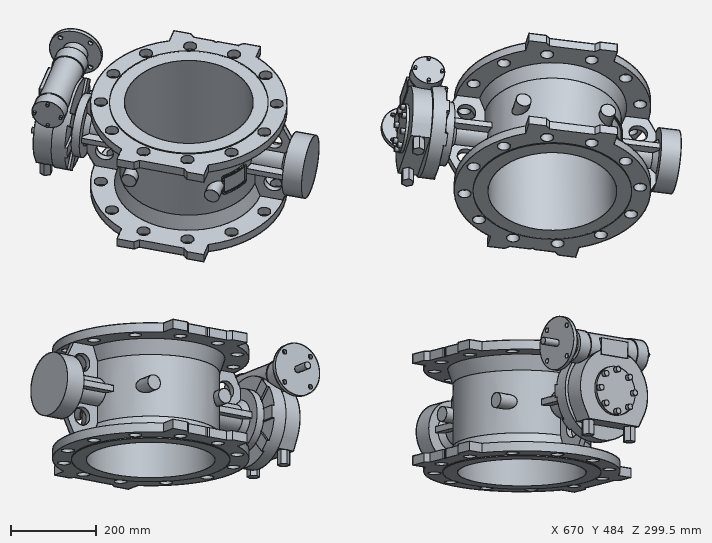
import cadquery as cq
import math

BORE_DIA = 300.0
BODY_DIA = 321.5
BODY_BELT_HEIGHT = 149.5
NECK_DIA = 346.5
BODY_HEIGHT = 270.0
FACE_HEIGHT = 3.0
FACE_DIA = 370.0
FLANGE_DIA = 458.0
FLANGE_THICK = 22.0
BOLT_CIRCLE_DIA = 410.0
BOLT_HOLE_DIA = 30.0
BOLT_COUNT = 12

FOOT_WIDTH = 210.5
FOOT_SPAN = 484.0
FOOT_RELIEF_WIDTH = 128.0
FOOT_RELIEF_DEPTH = 10.0
MARK_NOTCH_DEPTH = 5.0

SHAFT_Y = 6.0
SUPPORT_X = 246.0
SUPPORT_DIA = 70.0
SUPPORT_CONE_DIA = 95.0
SUPPORT_CONE_LENGTH = 13.0
RIB_THICK = 15.0
RIB_WIDTH = 110.0
WEB_TOP_X = 228.0
WEB_SIDE_HEIGHT = 149.5
WEB_HOLE_DIA = 43.5
WEB_HOLE_X = 204.5
WEB_HOLE_Z = 65.0
END_DISC_DIA = 150.0
GEAR_DISC_X = -265.0
END_CAP_X = 293.0

PIN_DIA = 35.5
PIN_X = 100.5
PIN_REACH = 158.0
PLATE_ANGLE = -32.5
PLATE_WIDTH = 74.5
PLATE_HEIGHT = 55.0
PLATE_RADIUS = 165.0
PLATE_CORNER = 5.0
PLATE_RIM = 5.0
PLATE_RECESS_RADIUS = 162.0

HUB_DIA = 115.0
SPOKE_WIDTH = 30.0
SPOKE_ANGLES = (0, 45, 135, 180, 225, 315)
CASE_X = -271.5
CASE_DIA = 218.0
HOUSING_X = -304.0
HOUSING_DIA = 201.0
HOUSING_FRONT_X = -350.5
HOUSING_BOTTOM_Z = -75.0
SKIRT_ANGLE = 28.0
COVER_DIA = 115.0
COVER_FRONT_X = -357.0
COVER_BOLT_DIA = 13.5
COVER_BOLT_CIRCLE_DIA = 100.0
COVER_BOLT_COUNT = 8
COVER_BOLT_FRONT_X = -367.0
LEG_FLATS = 25.5
LEG_X = -330.0
LEG_SPACING = 123.0
LEG_BOTTOM_Z = -109.0

OVERALL_HEIGHT = 299.5
WORM_X = -314.0
WORM_DIA = 73.0
COLLAR_DIA = 78.0
COLLAR_REAR_Y = (76.0, 108.5)
COLLAR_FRONT_Y = (-95.0, -63.5)
NECK_TUBE_DIA = 60.0
DRIVE_FLANGE_Y = (138.0, 148.0)
DRIVE_FLANGE_DIA = 126.0
DRIVE_HOLE_DIA = 11.0
DRIVE_HOLE_CIRCLE_DIA = 103.0
DRIVE_HOLE_COUNT = 4
INPUT_SHAFT_DIA = 17.0
INPUT_SHAFT_END_Y = 189.0
END_SCREW_DIA = 7.5
END_SCREW_CIRCLE_DIA = 63.5
END_SCREW_COUNT = 4
END_SCREW_HEIGHT = 6.0
TAG_WIDTH = 80.0
TAG_Z = (82.5, 121.0)
TAG_X = (-353.0, -335.0)

FLANGE_OUTER_Z = BODY_HEIGHT / 2 - FACE_HEIGHT
FLANGE_INNER_Z = FLANGE_OUTER_Z - FLANGE_THICK
WORM_Z = OVERALL_HEIGHT - BODY_HEIGHT / 2 - DRIVE_FLANGE_DIA / 2


def disc_z(diameter, z0, z1):
    return cq.Workplane("XY", origin=(0, 0, z0)).circle(diameter / 2).extrude(z1 - z0)


def disc_x(diameter, x0, x1):
    return cq.Workplane("YZ", origin=(x0, SHAFT_Y, 0)).circle(diameter / 2).extrude(x1 - x0)


def disc_y(diameter, y0, y1, x=WORM_X, z=WORM_Z):
    return cq.Workplane("XZ", origin=(x, y0, z)).circle(diameter / 2).extrude(y0 - y1)


def box_between(x, y, z):
    size = (x[1] - x[0], y[1] - y[0], z[1] - z[0])
    return cq.Workplane("XY", origin=(x[0], y[0], z[0])).box(*size, centered=False)


def body_shell():
    half_belt = BODY_BELT_HEIGHT / 2
    profile = [
        (0, -FLANGE_INNER_Z),
        (NECK_DIA / 2, -FLANGE_INNER_Z),
        (BODY_DIA / 2, -half_belt),
        (BODY_DIA / 2, half_belt),
        (NECK_DIA / 2, FLANGE_INNER_Z),
        (0, FLANGE_INNER_Z),
    ]
    shell = cq.Workplane("XZ").polyline(profile).close().revolve(360, (0, 0, 0), (0, 1, 0))
    top_face = disc_z(FACE_DIA, FLANGE_INNER_Z, BODY_HEIGHT / 2)
    bottom_face = disc_z(FACE_DIA, -BODY_HEIGHT / 2, -FLANGE_INNER_Z)
    return shell.union(top_face).union(bottom_face)


def flange(z0):
    end_y = FOOT_SPAN / 2
    relief_y = end_y - FOOT_RELIEF_DEPTH
    relief_top = FOOT_RELIEF_WIDTH / 2
    relief_floor = relief_top - FOOT_RELIEF_DEPTH
    relief = [
        (-relief_top, end_y),
        (-relief_floor, relief_y),
        (relief_floor, relief_y),
        (relief_top, end_y),
    ]
    mark = [
        (-MARK_NOTCH_DEPTH, relief_y),
        (0, relief_y - MARK_NOTCH_DEPTH),
        (MARK_NOTCH_DEPTH, relief_y),
    ]
    plane = cq.Workplane("XY", origin=(0, 0, z0))
    feet = plane.rect(FOOT_WIDTH, FOOT_SPAN).extrude(FLANGE_THICK)
    relief_cut = plane.polyline(relief).close().extrude(FLANGE_THICK)
    mark_cut = plane.polyline(mark).close().extrude(FLANGE_THICK)
    feet = feet.cut(relief_cut).cut(relief_cut.mirror("XZ")).cut(mark_cut)
    bolt_holes = (
        plane.polarArray(BOLT_CIRCLE_DIA / 2, 180 / BOLT_COUNT, 360, BOLT_COUNT)
        .circle(BOLT_HOLE_DIA / 2)
        .extrude(FLANGE_THICK)
    )
    return disc_z(FLANGE_DIA, z0, z0 + FLANGE_THICK).union(feet).cut(bolt_holes)


def shaft_supports():
    web_outline = [
        (-WEB_TOP_X, FLANGE_INNER_Z),
        (WEB_TOP_X, FLANGE_INNER_Z),
        (SUPPORT_X, WEB_SIDE_HEIGHT / 2),
        (SUPPORT_X, -WEB_SIDE_HEIGHT / 2),
        (WEB_TOP_X, -FLANGE_INNER_Z),
        (-WEB_TOP_X, -FLANGE_INNER_Z),
        (-SUPPORT_X, -WEB_SIDE_HEIGHT / 2),
        (-SUPPORT_X, WEB_SIDE_HEIGHT / 2),
    ]
    web_plane = cq.Workplane("XZ", origin=(0, SHAFT_Y + RIB_THICK / 2, 0))
    web = web_plane.polyline(web_outline).close().extrude(RIB_THICK)
    holes = web_plane.rect(2 * WEB_HOLE_X, 2 * WEB_HOLE_Z, forConstruction=True).vertices()
    web = web.cut(holes.circle(WEB_HOLE_DIA / 2).extrude(RIB_THICK))
    rib = cq.Workplane("XY", origin=(0, SHAFT_Y, 0)).box(2 * SUPPORT_X, RIB_WIDTH, RIB_THICK)
    cone_start = SUPPORT_X - SUPPORT_CONE_LENGTH
    sleeve_profile = [
        (-SUPPORT_X, 0),
        (-SUPPORT_X, SUPPORT_CONE_DIA / 2),
        (-cone_start, SUPPORT_DIA / 2),
        (cone_start, SUPPORT_DIA / 2),
        (SUPPORT_X, SUPPORT_CONE_DIA / 2),
        (SUPPORT_X, 0),
    ]
    sleeve = (
        cq.Workplane("XZ", origin=(0, SHAFT_Y, 0))
        .polyline(sleeve_profile)
        .close()
        .revolve(360, (0, 0, 0), (1, 0, 0))
    )
    gear_disc = disc_x(END_DISC_DIA, GEAR_DISC_X, -SUPPORT_X)
    end_cap = disc_x(END_DISC_DIA, SUPPORT_X, END_CAP_X)
    return web.union(rib).union(sleeve).union(gear_disc).union(end_cap)


def body_pins():
    pins = disc_y(PIN_DIA, -PIN_REACH, PIN_REACH, -PIN_X, 0)
    return pins.union(disc_y(PIN_DIA, -PIN_REACH, PIN_REACH, PIN_X, 0))


def name_plate():
    """Rimmed plate whose face and recess are both rounded about the bore axis."""
    half_height = PLATE_HEIGHT / 2
    depth = PLATE_RADIUS - BORE_DIA / 2
    turn = math.radians(PLATE_ANGLE)
    outward = cq.Vector(math.cos(turn), math.sin(turn), 0)
    sideways = cq.Vector(-math.sin(turn), math.cos(turn), 0)
    plane = cq.Plane(origin=outward * (BORE_DIA / 2), xDir=sideways, normal=outward)
    block = cq.Workplane(plane).rect(PLATE_WIDTH, PLATE_HEIGHT).extrude(depth)
    block = block.edges(cq.selectors.ParallelDirSelector(outward)).chamfer(PLATE_CORNER)
    pad = block.intersect(disc_z(2 * PLATE_RADIUS, -half_height, half_height))
    recess = (
        cq.Workplane(plane)
        .rect(PLATE_WIDTH - 2 * PLATE_RIM, PLATE_HEIGHT - 2 * PLATE_RIM)
        .extrude(depth)
        .cut(disc_z(2 * PLATE_RECESS_RADIUS, -half_height, half_height))
    )
    return pad.cut(recess)


def gearbox():
    layer = GEAR_DISC_X - CASE_X
    spokes = disc_x(HUB_DIA, CASE_X, GEAR_DISC_X)
    for angle in SPOKE_ANGLES:
        spoke = (
            cq.Workplane("YZ", origin=(CASE_X, SHAFT_Y, 0))
            .transformed(rotate=(0, 0, angle))
            .center(CASE_DIA / 4, 0)
            .rect(CASE_DIA / 2, SPOKE_WIDTH)
            .extrude(layer)
        )
        spokes = spokes.union(spoke)
    spokes = spokes.intersect(disc_x(CASE_DIA, CASE_X, GEAR_DISC_X))
    case = disc_x(CASE_DIA, HOUSING_X, CASE_X)

    radius = HOUSING_DIA / 2
    lean = math.radians(SKIRT_ANGLE)
    tangent_y = radius * math.cos(lean)
    tangent_z = -radius * math.sin(lean)
    bottom_y = tangent_y - (tangent_z - HOUSING_BOTTOM_Z) * math.tan(lean)
    housing = (
        cq.Workplane("YZ", origin=(HOUSING_FRONT_X, SHAFT_Y, 0))
        .moveTo(-bottom_y, HOUSING_BOTTOM_Z)
        .lineTo(-tangent_y, tangent_z)
        .threePointArc((0, radius), (tangent_y, tangent_z))
        .lineTo(bottom_y, HOUSING_BOTTOM_Z)
        .close()
        .extrude(HOUSING_X - HOUSING_FRONT_X)
    )
    cover = disc_x(COVER_DIA, COVER_FRONT_X, HOUSING_FRONT_X)
    cover_bolts = (
        cq.Workplane("YZ", origin=(COVER_BOLT_FRONT_X, SHAFT_Y, 0))
        .polarArray(COVER_BOLT_CIRCLE_DIA / 2, 0, 360, COVER_BOLT_COUNT)
        .circle(COVER_BOLT_DIA / 2)
        .extrude(COVER_FRONT_X - COVER_BOLT_FRONT_X)
    )
    box = spokes.union(case).union(housing).union(cover).union(cover_bolts)
    leg_corners = LEG_FLATS / math.cos(math.radians(30))
    for side in (-1, 1):
        leg = (
            cq.Workplane("XY", origin=(LEG_X, SHAFT_Y + side * LEG_SPACING / 2, LEG_BOTTOM_Z))
            .transformed(rotate=(0, 0, 90))
            .polygon(6, leg_corners)
            .extrude(HOUSING_BOTTOM_Z - LEG_BOTTOM_Z)
        )
        box = box.union(leg)
    return box


def worm_drive():
    drive = disc_y(WORM_DIA, COLLAR_FRONT_Y[1], COLLAR_REAR_Y[0])
    drive = drive.union(disc_y(COLLAR_DIA, *COLLAR_FRONT_Y)).union(disc_y(COLLAR_DIA, *COLLAR_REAR_Y))
    drive = drive.union(disc_y(NECK_TUBE_DIA, COLLAR_REAR_Y[1], DRIVE_FLANGE_Y[0]))
    drive = drive.union(disc_y(INPUT_SHAFT_DIA, DRIVE_FLANGE_Y[1], INPUT_SHAFT_END_Y))
    flange_holes = (
        cq.Workplane("XZ", origin=(WORM_X, DRIVE_FLANGE_Y[1], WORM_Z))
        .polarArray(DRIVE_HOLE_CIRCLE_DIA / 2, 45, 360, DRIVE_HOLE_COUNT)
        .circle(DRIVE_HOLE_DIA / 2)
        .extrude(DRIVE_FLANGE_Y[1] - DRIVE_FLANGE_Y[0])
    )
    drive = drive.union(disc_y(DRIVE_FLANGE_DIA, *DRIVE_FLANGE_Y).cut(flange_holes))
    end_screws = (
        cq.Workplane("XZ", origin=(WORM_X, COLLAR_FRONT_Y[0], WORM_Z))
        .polarArray(END_SCREW_CIRCLE_DIA / 2, 0, 360, END_SCREW_COUNT)
        .circle(END_SCREW_DIA / 2)
        .extrude(END_SCREW_HEIGHT)
    )
    tag_y = (SHAFT_Y - TAG_WIDTH / 2, SHAFT_Y + TAG_WIDTH / 2)
    return drive.union(end_screws).union(box_between(TAG_X, tag_y, TAG_Z))


valve = body_shell().union(flange(FLANGE_INNER_Z)).union(flange(-FLANGE_OUTER_Z))
valve = valve.union(shaft_supports()).union(body_pins()).union(name_plate())
valve = valve.cut(disc_z(BORE_DIA, -BODY_HEIGHT / 2, BODY_HEIGHT / 2))

result = valve.union(gearbox()).union(worm_drive())